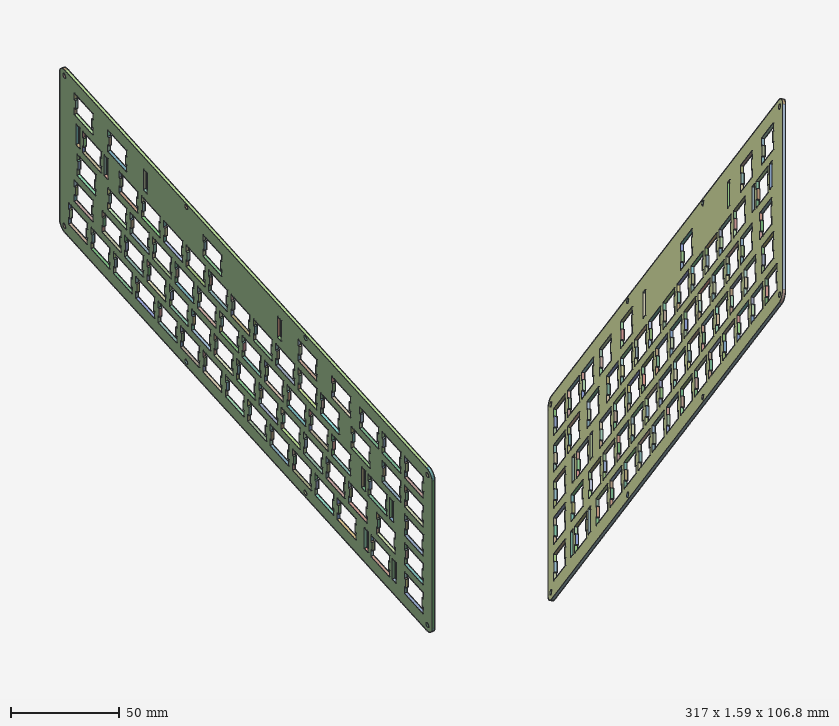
import cadquery as cq

PLATE_WIDTH = 317.0
PLATE_HEIGHT = 106.81
PLATE_THICKNESS = 1.59
CORNER_RADIUS = 4.76

KEY_UNIT = 19.05
GRID_COLUMNS = 16
GRID_ROWS = 5
GRID_LEFT = -GRID_COLUMNS * KEY_UNIT / 2
GRID_BOTTOM = -GRID_ROWS * KEY_UNIT / 2

SWITCH_SIZE = 14.0
WIDE_SPAN = 15.9
TAB_HEIGHT = 5.6
BAND_HEIGHT = (SWITCH_SIZE - TAB_HEIGHT) / 2

SLOT_WIDTH = 3.3
SLOT_TOP = 7.0
SLOT_BOTTOM = -6.5
SHORT_STABILIZER_REACH = 11.9
LONG_STABILIZER_REACH = 57.0

HOLE_DIAMETER = 2.5
CORNER_HOLE_INSET = 4.05
EDGE_HOLE_X = 50.7
TOP_HOLE_INSET = 2.2
BOTTOM_HOLE_INSET = 2.8

KEY_ROWS = [
    [1] * 13 + [2, 1],
    [1.5] + [1] * 12 + [1.5, 1],
    [1.75] + [1] * 11 + [2.25, 1],
    [2.25] + [1] * 10 + [1.75, 1, 1],
    [1.5, 1.5, 7, 1.5, 1.5, 1, 1, 1],
]
STABILIZED_WIDTH = 2
SPACEBAR_WIDTH = 7


def key_positions():
    """List (x, z, width in key units) for the centre of every key."""
    keys = []
    for row, widths in enumerate(KEY_ROWS):
        z = GRID_BOTTOM + (row + 0.5) * KEY_UNIT
        left = GRID_LEFT
        for width in widths:
            keys.append((left + width * KEY_UNIT / 2, z, width))
            left += width * KEY_UNIT
    return keys


def stabilizer_slots(keys):
    """List the (x, z) centres of the slots beside the wide keys."""
    slots = []
    for x, z, width in keys:
        if width < STABILIZED_WIDTH:
            continue
        reach = LONG_STABILIZER_REACH if width == SPACEBAR_WIDTH else SHORT_STABILIZER_REACH
        for side in (-1, 1):
            slots.append((x + side * reach, z + (SLOT_TOP + SLOT_BOTTOM) / 2))
    return slots


def screw_holes():
    """List the (x, z) centres of the corner and long-edge screw holes."""
    corner_x = PLATE_WIDTH / 2 - CORNER_HOLE_INSET
    corner_z = PLATE_HEIGHT / 2 - CORNER_HOLE_INSET
    holes = []
    for side in (-1, 1):
        holes.append((side * corner_x, corner_z))
        holes.append((side * corner_x, -corner_z))
        holes.append((side * EDGE_HOLE_X, PLATE_HEIGHT / 2 - TOP_HOLE_INSET))
        holes.append((side * EDGE_HOLE_X, -PLATE_HEIGHT / 2 + BOTTOM_HOLE_INSET))
    return holes


def cutter(points):
    """Start a sketch on the mid-plane of the plate at the given centres."""
    return cq.Workplane("XZ").pushPoints(points)


def through(sketch):
    """Extrude a sketch to both sides, past both faces of the plate."""
    return sketch.extrude(PLATE_THICKNESS, both=True)


def make_plate():
    """Flat plate with rounded corners, centred on the origin."""
    return (
        cq.Workplane("XZ")
        .rect(PLATE_WIDTH, PLATE_HEIGHT)
        .extrude(PLATE_THICKNESS / 2, both=True)
        .edges("|Y")
        .fillet(CORNER_RADIUS)
    )


def switch_cutters(keys):
    """Return the square cores and the wider end bands of the switch openings."""
    centres = [(x, z) for x, z, width in keys]
    band_offset = (SWITCH_SIZE - BAND_HEIGHT) / 2
    band_centres = [(x, z + side * band_offset) for x, z in centres for side in (-1, 1)]
    cores = through(cutter(centres).rect(SWITCH_SIZE, SWITCH_SIZE))
    bands = through(cutter(band_centres).rect(WIDE_SPAN, BAND_HEIGHT))
    return cores, bands


def slot_cutter(keys):
    """Return the stabilizer slots."""
    return through(cutter(stabilizer_slots(keys)).rect(SLOT_WIDTH, SLOT_TOP - SLOT_BOTTOM))


def hole_cutter():
    """Return the screw holes."""
    return through(cutter(screw_holes()).circle(HOLE_DIAMETER / 2))


all_keys = key_positions()
switch_cores, switch_bands = switch_cutters(all_keys)

result = (
    make_plate()
    .cut(switch_cores)
    .cut(switch_bands)
    .cut(slot_cutter(all_keys))
    .cut(hole_cutter())
)